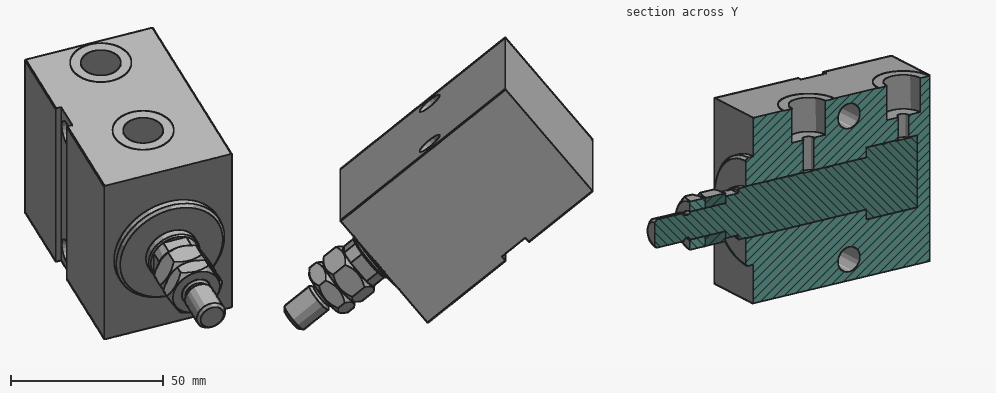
import cadquery as cq
import math

block_length = 70.0
block_width = 45.0
block_height = 65.0
edge_chamfer = 0.27

boss_diameter = 38.0
boss_end = 73.0
boss_chamfer = 1.0

slot_start = 27.0
slot_width = 9.9
slot_depth = 2.0
mount_hole_x = slot_start + slot_width / 2
mount_hole_diameter = 8.5
mount_hole_spacing = 50.0

port_positions = [10.5, 48.0]
port_face_diameter = 20.1
port_face_depth = 0.1
port_diameter = 13.1
port_depth = 12.0
port_feed_diameter = 4.0

piston_diameter = 25.0
piston_start = 5.0
piston_end = 25.0
rod_diameter = 18.0
rod_shoulder_end = 76.0
rod_shoulder_chamfer = 0.5
neck_diameter = rod_diameter - 2 * rod_shoulder_chamfer
wrench_width = 14.8

thread_diameter = 10.0
rod_end = 109.0
thread_chamfer = 1.0
groove_diameter = 8.1
groove_depth = (thread_diameter - groove_diameter) / 2
groove_start = 94.6
groove_end = 97.6

nut_sides = 6
nut_across_flats = 17.0
nut_face_diameter = 16.5
nut_start = 80.8
nut_joint = 89.0
locknut_end = 95.0


def x_cylinder(diameter, start, end):
    """Cylinder on the rod axis between two X positions."""
    return cq.Workplane("YZ").workplane(offset=start).circle(diameter / 2).extrude(end - start)


def make_housing():
    """Block with boss, slot, mounting holes, oil ports and the cavity for the piston rod."""
    block = (
        cq.Workplane("XY")
        .box(block_length, block_width, block_height)
        .translate((block_length / 2, 0, 0))
        .edges("|X")
        .chamfer(edge_chamfer)
    )
    boss = x_cylinder(boss_diameter, block_length, boss_end).faces(">X").chamfer(boss_chamfer)
    slot = (
        cq.Workplane("XY")
        .box(slot_width, slot_depth, block_height, centered=(False, False, True))
        .translate((slot_start, -block_width / 2, 0))
    )
    mount_holes = (
        cq.Workplane("XZ")
        .pushPoints([(mount_hole_x, side * mount_hole_spacing / 2) for side in (-1, 1)])
        .circle(mount_hole_diameter / 2)
        .extrude(block_width, both=True)
    )
    housing = block.union(boss).cut(slot).cut(mount_holes)
    for port_x in port_positions:
        housing = housing.cut(port_cutter(port_x))
    piston_bore = x_cylinder(piston_diameter, piston_start, piston_end)
    rod_bore = x_cylinder(rod_diameter, piston_end, boss_end)
    return housing.cut(piston_bore).cut(rod_bore)


def port_cutter(port_x):
    """Shallow sealing face, threaded bore and feed hole down to the rod axis."""
    top = cq.Workplane("XY").workplane(offset=block_height / 2).center(port_x, 0)
    sealing_face = top.circle(port_face_diameter / 2).extrude(-port_face_depth)
    bore = top.circle(port_diameter / 2).extrude(-port_depth)
    feed = top.circle(port_feed_diameter / 2).extrude(-block_height / 2)
    return sealing_face.union(bore).union(feed)


def make_rod():
    """Piston, rod, wrench flats and grooved threaded end in one piece."""
    piston = x_cylinder(piston_diameter, piston_start, piston_end)
    shaft = x_cylinder(rod_diameter, piston_end, rod_shoulder_end)
    shaft = shaft.faces(">X").chamfer(rod_shoulder_chamfer)
    flats = cq.Workplane("YZ").workplane(offset=rod_shoulder_end).rect(wrench_width, wrench_width)
    flats = flats.extrude(nut_start - rod_shoulder_end)
    neck = x_cylinder(neck_diameter, rod_shoulder_end, nut_start).intersect(flats)
    thread = x_cylinder(thread_diameter, nut_start, rod_end).faces(">X").chamfer(thread_chamfer)
    return piston.union(shaft).union(neck).union(thread).cut(relief_groove())


def relief_groove():
    """Ring with 45 degree flanks that cuts the groove into the thread."""
    outer = thread_diameter / 2
    inner = groove_diameter / 2
    return (
        cq.Workplane("XY")
        .moveTo(groove_start, outer)
        .lineTo(groove_start + groove_depth, inner)
        .lineTo(groove_end - groove_depth, inner)
        .lineTo(groove_end, outer)
        .close()
        .revolve(360, (0, 0, 0), (1, 0, 0))
    )


def make_nut(start, end):
    """Hexagon nut with both faces chamfered at 45 degrees."""
    corner_diameter = nut_across_flats / math.cos(math.pi / nut_sides)
    corner_chamfer = (corner_diameter - nut_face_diameter) / 2
    hexagon = cq.Workplane("YZ").workplane(offset=start).polygon(nut_sides, corner_diameter)
    hexagon = hexagon.extrude(end - start)
    rounding = x_cylinder(corner_diameter, start, end).faces("<X or >X").chamfer(corner_chamfer)
    return hexagon.intersect(rounding).cut(x_cylinder(thread_diameter, start, end))


housing = make_housing()
piston_rod = make_rod()
nuts = [make_nut(start, end) for start, end in [(nut_start, nut_joint), (nut_joint, locknut_end)]]

result = cq.Compound.makeCompound([housing.val(), piston_rod.val(), *[nut.val() for nut in nuts]])